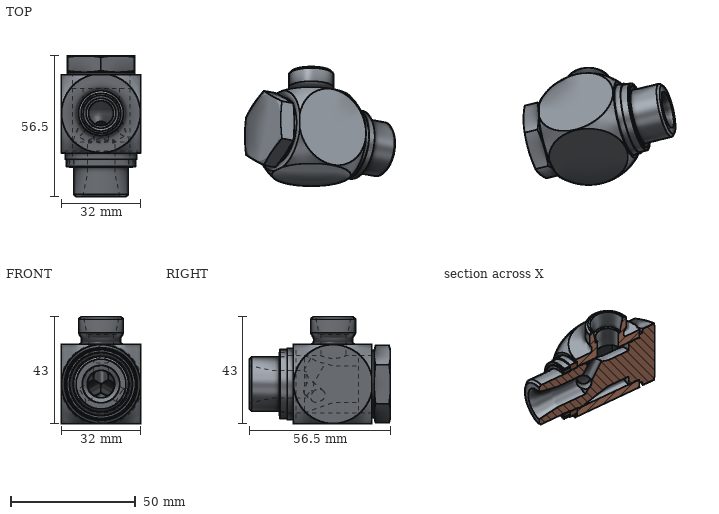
import cadquery as cq
import math


HOUSING_WIDTH = 32.0
HOUSING_FRONT_Y = -HOUSING_WIDTH / 2
HOUSING_REAR_Y = 15.5
FACE_CIRCLE_DIA = 31.6
HOUSING_BORE_DIA = 23.0

STUD_TOP_Z = 27.0
STUD_DIA = 18.0
STUD_CHAMFER = 1.0
STUD_RIM_LENGTH = 6.5
STUD_RELIEF_DIA = 15.7
STUD_RELIEF_ANGLE = 30.0
STUD_FILLET = 1.0
TUBE_CONE_MOUTH_DIA = 14.3
TUBE_CONE_ANGLE = 12.0
TUBE_SEAT_DIA = 12.0
TUBE_SEAT_DEPTH = 7.0
STUD_BORE_DIA = 10.0

HEAD_ACROSS_FLATS = 27.0
HEAD_REAR_Y = 23.0
HEAD_LENGTH = 6.5
HEAD_CHAMFER_ANGLE = 15.0
COLLAR_DIA = 27.0
SHANK_DIA = 22.96
THREAD_DIA = 22.0
THREAD_CHAMFER = 1.0
BOLT_FRONT_Y = -33.5
WAIST_DIA = 14.6
WAIST_REAR_Y = 10.0
WAIST_CONE_ANGLE = 20.0
WAIST_BLEND_RADIUS = 8.0
BOLT_BORE_DIA = 11.0
BOLT_BORE_END_Y = -10.95
BOLT_MOUTH_DIA = 15.0
BOLT_MOUTH_ANGLE = 12.0
DRILL_TIP_ANGLE = 60.0
CROSS_HOLE_DIA = 6.0
CROSS_HOLE_COUNT = 3
CROSS_HOLE_TILT = 30.0
CROSS_HOLE_Y = -11.6
CROSS_HOLE_SEAM_ANGLE = 30.0

BACK_RING_DIA = 28.8
BACK_RING_EXPOSED_LENGTH = 2.4
RING_RECESS_DIA = 29.2
RING_RECESS_DEPTH = 1.0
FRONT_RING_DIA = 27.8
FRONT_RING_LENGTH = 3.0
FRONT_RING_CHAMFER = 0.15
SEAL_OUTER_DIA = 25.4
SEAL_INNER_DIA = 22.3
SEAL_PROTRUSION = 0.25
SEAL_CHAMFER = 0.2


def tan_deg(angle):
    return math.tan(math.radians(angle))


def revolve_about_y(points):
    """Revolve a closed outline of (radius, y) points about the Y axis."""
    return cq.Workplane("XY").polyline(points).close().revolve(360, (0, 0, 0), (0, 1, 0))


def make_ring(outer_dia, inner_dia, rear_y, length, chamfer=0.0):
    """Ring about Y that runs forward from rear_y, with its outer front edge chamfered."""
    ring = (
        cq.Workplane("XZ", origin=(0, rear_y, 0))
        .circle(outer_dia / 2)
        .extrude(length)
    )
    if chamfer:
        ring = ring.faces("<Y").edges().chamfer(chamfer)
    hole = cq.Workplane("XZ", origin=(0, rear_y, 0)).circle(inner_dia / 2).extrude(length)
    return ring.cut(hole)


def make_housing_block():
    half = HOUSING_WIDTH / 2
    block = cq.Workplane("XY").box(HOUSING_WIDTH, HOUSING_REAR_Y - HOUSING_FRONT_Y, HOUSING_WIDTH)
    block = block.translate((0, (HOUSING_REAR_Y + HOUSING_FRONT_Y) / 2, 0))
    ball = cq.Workplane("XY").sphere(math.hypot(half, FACE_CIRCLE_DIA / 2))
    return block.intersect(ball)


def make_stud():
    """Threaded stud with a relief groove, flaring into the top of the housing."""
    base_z = HOUSING_WIDTH / 2
    rim_bottom_z = STUD_TOP_Z - STUD_RIM_LENGTH
    rim_r = STUD_DIA / 2
    relief_r = STUD_RELIEF_DIA / 2
    angle = math.radians(STUD_RELIEF_ANGLE)

    blend_r = relief_r + STUD_FILLET * (1 - math.cos(angle))
    blend_top_z = rim_bottom_z - (rim_r - blend_r) / math.tan(angle)
    blend_bottom_z = blend_top_z - STUD_FILLET * math.sin(angle)
    blend_mid = (
        relief_r + STUD_FILLET * (1 - math.cos(angle / 2)),
        blend_bottom_z + STUD_FILLET * math.sin(angle / 2),
    )
    flare_inset = STUD_FILLET * (1 - math.sqrt(0.5))
    flare_mid = (
        relief_r + flare_inset,
        base_z + flare_inset,
    )
    outline = (
        cq.Workplane("XZ")
        .moveTo(0, 0)
        .lineTo(relief_r, 0)
        .lineTo(relief_r, base_z)
        .lineTo(relief_r + STUD_FILLET, base_z)
        .threePointArc(flare_mid, (relief_r, base_z + STUD_FILLET))
        .lineTo(relief_r, blend_bottom_z)
        .threePointArc(blend_mid, (blend_r, blend_top_z))
        .lineTo(rim_r, rim_bottom_z)
        .lineTo(rim_r, STUD_TOP_Z - STUD_CHAMFER)
        .lineTo(rim_r - STUD_CHAMFER, STUD_TOP_Z)
        .lineTo(0, STUD_TOP_Z)
        .close()
    )
    return outline.revolve(360, (0, 0, 0), (0, 1, 0))


def make_stud_bore():
    """Tube cone, tube seat and bore, reaching down into the housing bore."""
    mouth_r = TUBE_CONE_MOUTH_DIA / 2
    seat_r = TUBE_SEAT_DIA / 2
    bore_r = STUD_BORE_DIA / 2
    cone_bottom_z = STUD_TOP_Z - (mouth_r - seat_r) / tan_deg(TUBE_CONE_ANGLE)
    seat_z = STUD_TOP_Z - TUBE_SEAT_DEPTH
    points = [
        (0, 0),
        (bore_r, 0),
        (bore_r, seat_z),
        (seat_r, seat_z),
        (seat_r, cone_bottom_z),
        (mouth_r, STUD_TOP_Z),
        (0, STUD_TOP_Z),
    ]
    return cq.Workplane("XZ").polyline(points).close().revolve(360, (0, 0, 0), (0, 1, 0))


def make_housing():
    bolt_bore = (
        cq.Workplane("XZ", origin=(0, HOUSING_REAR_Y, 0))
        .circle(HOUSING_BORE_DIA / 2)
        .extrude(HOUSING_REAR_Y - HOUSING_FRONT_Y)
    )
    ring_recess = (
        cq.Workplane("XZ", origin=(0, HOUSING_FRONT_Y + RING_RECESS_DEPTH, 0))
        .circle(RING_RECESS_DIA / 2)
        .extrude(RING_RECESS_DEPTH)
    )
    body = make_housing_block().union(make_stud())
    return body.cut(bolt_bore).cut(ring_recess).cut(make_stud_bore())


def make_bolt_head():
    """Hexagon with corners on top and bottom, chamfered at both ends."""
    flat_r = HEAD_ACROSS_FLATS / 2
    corner_r = flat_r / math.cos(math.radians(30))
    front_y = HEAD_REAR_Y - HEAD_LENGTH
    chamfer_drop = (corner_r - flat_r) * tan_deg(HEAD_CHAMFER_ANGLE)
    hexagon = (
        cq.Workplane("XZ", origin=(0, HEAD_REAR_Y, 0))
        .transformed(rotate=(0, 0, 30))
        .polygon(6, 2 * corner_r)
        .extrude(HEAD_LENGTH)
    )
    envelope = revolve_about_y([
        (0, front_y),
        (flat_r, front_y),
        (corner_r, front_y + chamfer_drop),
        (corner_r, HEAD_REAR_Y - chamfer_drop),
        (flat_r, HEAD_REAR_Y),
        (0, HEAD_REAR_Y),
    ])
    return hexagon.intersect(envelope)


def make_bolt_shank():
    """Collar, waisted shank and threaded end."""
    head_front_y = HEAD_REAR_Y - HEAD_LENGTH
    collar_r = COLLAR_DIA / 2
    shank_r = SHANK_DIA / 2
    waist_r = WAIST_DIA / 2
    thread_r = THREAD_DIA / 2
    shank_front_y = HOUSING_FRONT_Y - BACK_RING_EXPOSED_LENGTH

    angle = math.radians(WAIST_CONE_ANGLE)
    blend_rear_y = WAIST_BLEND_RADIUS * math.sin(angle) / 2
    blend_front_y = -blend_rear_y
    blend_front_r = waist_r + WAIST_BLEND_RADIUS * (1 - math.cos(angle))
    blend_mid = (
        waist_r + WAIST_BLEND_RADIUS * (1 - math.cos(angle / 2)),
        blend_rear_y - WAIST_BLEND_RADIUS * math.sin(angle / 2),
    )
    cone_front_y = blend_front_y - (shank_r - blend_front_r) / math.tan(angle)
    outline = (
        cq.Workplane("XY")
        .moveTo(0, head_front_y)
        .lineTo(collar_r, head_front_y)
        .lineTo(collar_r, HOUSING_REAR_Y)
        .lineTo(shank_r, HOUSING_REAR_Y)
        .lineTo(shank_r, WAIST_REAR_Y)
        .lineTo(waist_r, WAIST_REAR_Y)
        .lineTo(waist_r, blend_rear_y)
        .threePointArc(blend_mid, (blend_front_r, blend_front_y))
        .lineTo(shank_r, cone_front_y)
        .lineTo(shank_r, shank_front_y)
        .lineTo(thread_r, shank_front_y)
        .lineTo(thread_r, BOLT_FRONT_Y + THREAD_CHAMFER)
        .lineTo(thread_r - THREAD_CHAMFER, BOLT_FRONT_Y)
        .lineTo(0, BOLT_FRONT_Y)
        .close()
    )
    return outline.revolve(360, (0, 0, 0), (0, 1, 0))


def make_bolt_bore():
    """Blind bore with a tapered mouth and a drill point."""
    mouth_r = BOLT_MOUTH_DIA / 2
    bore_r = BOLT_BORE_DIA / 2
    return revolve_about_y([
        (0, BOLT_FRONT_Y),
        (mouth_r, BOLT_FRONT_Y),
        (bore_r, BOLT_FRONT_Y + (mouth_r - bore_r) / tan_deg(BOLT_MOUTH_ANGLE)),
        (bore_r, BOLT_BORE_END_Y),
        (0, BOLT_BORE_END_Y + bore_r / tan_deg(DRILL_TIP_ANGLE)),
    ])


def make_bolt():
    bolt = make_bolt_head().union(make_bolt_shank()).cut(make_bolt_bore())
    cross_hole = (
        cq.Workplane("XY", origin=(0, CROSS_HOLE_Y, 0))
        .transformed(rotate=(0, 0, CROSS_HOLE_SEAM_ANGLE))
        .circle(CROSS_HOLE_DIA / 2)
        .extrude(SHANK_DIA)
    )
    cross_hole = cross_hole.rotate((0, CROSS_HOLE_Y, 0), (1, CROSS_HOLE_Y, 0), -CROSS_HOLE_TILT)
    for index in range(CROSS_HOLE_COUNT):
        angle = index * 360 / CROSS_HOLE_COUNT
        bolt = bolt.cut(cross_hole.rotate((0, 0, 0), (0, 1, 0), angle), clean=False)
    return bolt


back_ring_rear_y = HOUSING_FRONT_Y + RING_RECESS_DEPTH
front_ring_rear_y = HOUSING_FRONT_Y - BACK_RING_EXPOSED_LENGTH

housing = make_housing()
bolt = make_bolt()
back_ring = make_ring(
    BACK_RING_DIA, SHANK_DIA, back_ring_rear_y, RING_RECESS_DEPTH + BACK_RING_EXPOSED_LENGTH
)
front_ring = make_ring(
    FRONT_RING_DIA, SEAL_OUTER_DIA, front_ring_rear_y, FRONT_RING_LENGTH, FRONT_RING_CHAMFER
)
seal = make_ring(
    SEAL_OUTER_DIA, SEAL_INNER_DIA, front_ring_rear_y, FRONT_RING_LENGTH + SEAL_PROTRUSION, SEAL_CHAMFER
)

result = cq.Compound.makeCompound([
    housing.val(),
    bolt.val(),
    back_ring.val(),
    front_ring.val(),
    seal.val(),
])